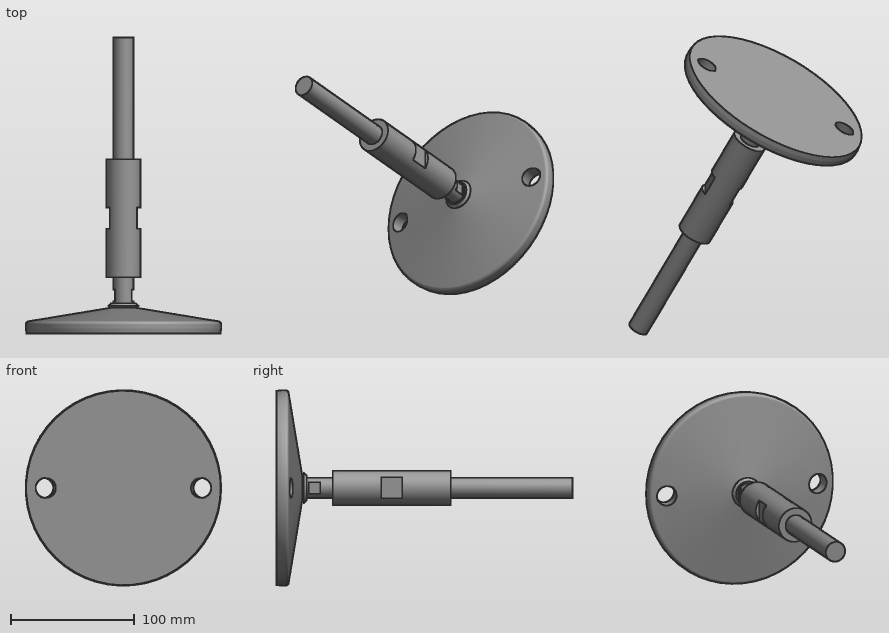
import cadquery as cq
import math


plate_diameter = 158.0
ground_face_diameter = 156.8
taper_height = 4.0
rim_height = 9.5
rim_fillet = 2.9
plate_height = 20.8
seat_diameter = 21.5
plate_hole_diameter = 16.0
plate_hole_offset = 62.5

spindle_end = 239.0
rod_diameter = 16.5
rod_flat_width = 13.6
rod_flat_start = 26.0
rod_flat_end = 35.4

collar_diameter = 24.4
collar_widest_height = 22.2
collar_top_height = 24.5
collar_top_diameter = 19.5

sleeve_diameter = 28.0
sleeve_start = 45.5
sleeve_end = 140.8
sleeve_flat_width = 22.2
sleeve_flat_start = 84.5
sleeve_flat_end = 101.5

cone_run = (plate_diameter - seat_diameter) / 2
cone_rise = plate_height - rim_height
cone_angle = math.atan2(cone_rise, cone_run)


def revolve_about_y(points):
    """Turn a closed (radius, height) outline into a solid about the Y axis."""
    return cq.Workplane("XY").polyline(points).close().revolve(360, (0, 0), (0, 1))


def cylinder_along_y(diameter, start, end):
    return revolve_about_y([(0, start), (diameter / 2, start), (diameter / 2, end), (0, end)])


def tilted_hole(side):
    """Cutter square to the conical back, leaning outward on the given X side."""
    depth = 2 * plate_height
    axis = cq.Vector(side * math.sin(cone_angle), math.cos(cone_angle), 0)
    ground_point = cq.Vector(side * plate_hole_offset, 0, 0)
    start = ground_point - axis * (depth / 2)
    return cq.Workplane(cq.Solid.makeCylinder(plate_hole_diameter / 2, depth, start, axis))


def make_foot_plate():
    plate_radius = plate_diameter / 2
    turn = math.pi / 2 - cone_angle
    setback = rim_fillet * math.tan(turn / 2)
    arc_start_height = rim_height - setback
    arc_centre_radius = plate_radius - rim_fillet
    arc_middle = (
        arc_centre_radius + rim_fillet * math.cos(turn / 2),
        arc_start_height + rim_fillet * math.sin(turn / 2),
    )
    arc_end = (
        arc_centre_radius + rim_fillet * math.cos(turn),
        arc_start_height + rim_fillet * math.sin(turn),
    )
    outline = (
        cq.Workplane("XY")
        .lineTo(ground_face_diameter / 2, 0)
        .lineTo(plate_radius, taper_height)
        .lineTo(plate_radius, arc_start_height)
        .threePointArc(arc_middle, arc_end)
        .lineTo(seat_diameter / 2, plate_height)
        .lineTo(0, plate_height)
        .close()
    )
    plate = outline.revolve(360, (0, 0), (0, 1))
    for side in (-1, 1):
        plate = plate.cut(tilted_hole(side))
    return plate


def cut_flats(body, flat_width, start, end):
    """Cut two parallel flats, facing -X and +X, between two heights."""
    length = end - start
    for side in (-1, 1):
        cutter = cq.Workplane("XY").box(sleeve_diameter, length, sleeve_diameter)
        centre_x = side * (flat_width + sleeve_diameter) / 2
        body = body.cut(cutter.translate((centre_x, start + length / 2, 0)))
    return body


def make_collar():
    return revolve_about_y([
        (0, plate_height),
        (seat_diameter / 2, plate_height),
        (collar_diameter / 2, collar_widest_height),
        (collar_top_diameter / 2, collar_top_height),
        (0, collar_top_height),
    ])


def make_spindle():
    rod = cylinder_along_y(rod_diameter, plate_height, spindle_end)
    rod = cut_flats(rod, rod_flat_width, rod_flat_start, rod_flat_end)
    sleeve = cylinder_along_y(sleeve_diameter, sleeve_start, sleeve_end)
    sleeve = cut_flats(sleeve, sleeve_flat_width, sleeve_flat_start, sleeve_flat_end)
    return rod.union(make_collar()).union(sleeve)


foot_plate = make_foot_plate()
spindle = make_spindle()

result = cq.Compound.makeCompound([foot_plate.solids().val(), spindle.solids().val()])